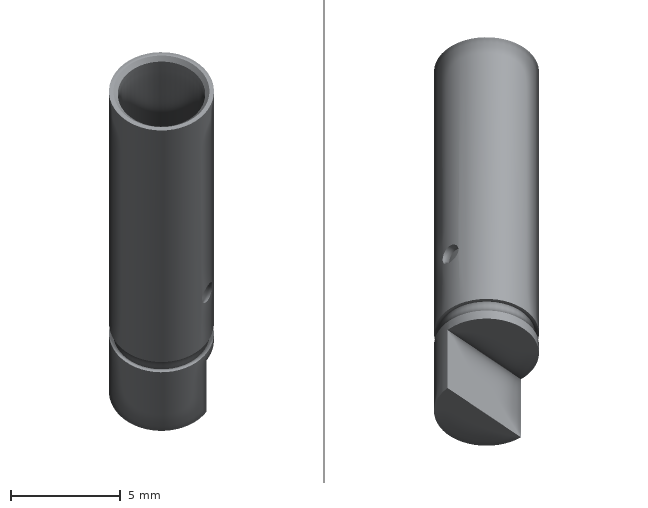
import cadquery as cq
import math

LENGTH = 20.5
BODY_DIAMETER = 4.78

BORE_DIAMETER = 3.98
BORE_END_Z = 7.0
BORE_TIP_DIAMETER = 0.37
BORE_TIP_ANGLE = 150.0
MOUTH_DIAMETER = 4.37
MOUTH_ANGLE = 90.0

GROOVE_DIAMETER = 4.4
GROOVE_BOTTOM_Z = 4.0
GROOVE_WIDTH = 0.7

TAIL_LENGTH = 3.5
TAIL_FLAT_Y = -0.15

INSPECTION_DIAMETER = 1.0
INSPECTION_Z = 8.0


def cone_height(large_diameter, small_diameter, included_angle):
    """Height of a truncated cone between two diameters."""
    radial_step = (large_diameter - small_diameter) / 2
    return radial_step / math.tan(math.radians(included_angle / 2))


def make_bore():
    """Bore with a countersunk mouth and a conical bottom, revolved about Z."""
    bore_radius = BORE_DIAMETER / 2
    mouth_depth = cone_height(MOUTH_DIAMETER, BORE_DIAMETER, MOUTH_ANGLE)
    tip_depth = cone_height(BORE_DIAMETER, BORE_TIP_DIAMETER, BORE_TIP_ANGLE)
    profile = [
        (0, BORE_END_Z - tip_depth),
        (BORE_TIP_DIAMETER / 2, BORE_END_Z - tip_depth),
        (bore_radius, BORE_END_Z),
        (bore_radius, LENGTH - mouth_depth),
        (MOUTH_DIAMETER / 2, LENGTH),
        (0, LENGTH),
    ]
    return cq.Workplane("XZ").polyline(profile).close().revolve(360, (0, 0), (0, 1))


def make_groove():
    """Ring removed from the outside of the body."""
    return (
        cq.Workplane("XY", origin=(0, 0, GROOVE_BOTTOM_Z))
        .circle(BODY_DIAMETER / 2)
        .circle(GROOVE_DIAMETER / 2)
        .extrude(GROOVE_WIDTH)
    )


def make_tail_cut():
    """Block removed from the +Y side of the bottom end."""
    return cq.Workplane("XY", origin=(0, TAIL_FLAT_Y, 0)).box(
        BODY_DIAMETER, BODY_DIAMETER, TAIL_LENGTH, centered=(True, False, False)
    )


def make_inspection_hole():
    """Round hole running from the axis out through the +X wall."""
    return (
        cq.Workplane("YZ", origin=(0, 0, INSPECTION_Z))
        .circle(INSPECTION_DIAMETER / 2)
        .extrude(BODY_DIAMETER)
    )


body = cq.Workplane("XY").circle(BODY_DIAMETER / 2).extrude(LENGTH)
result = (
    body.cut(make_bore())
    .cut(make_groove())
    .cut(make_tail_cut())
    .cut(make_inspection_hole())
)